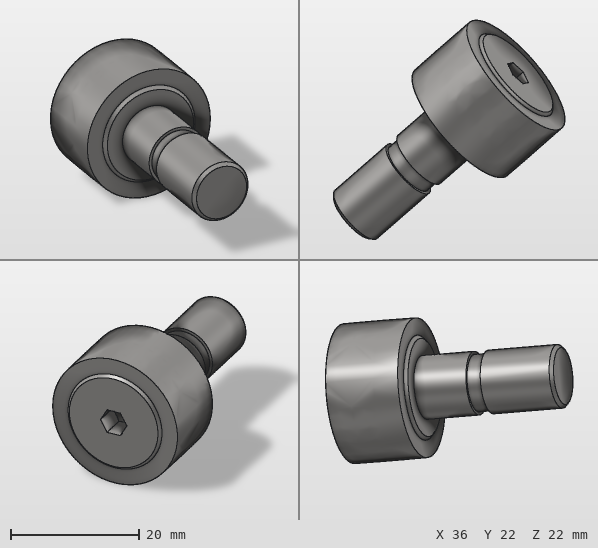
import cadquery as cq
import math

total_length = 36.0
roller_diameter = 22.0
roller_width = 12.0
crown_height = 0.05
flange_radius = 8.25
front_flange_width = 0.45
rear_flange_width = 0.55
front_chamfer = 0.45
rear_chamfer = 0.55
stud_diameter = 10.0
stud_end_chamfer = 0.55
groove_diameter = 9.0
groove_width = 2.38
threaded_length = 12.0
socket_across_flats = 4.0
socket_depth = 4.0
drill_point_angle = 118.0

front_x = -total_length / 2
end_x = total_length / 2
roller_start = front_x + front_flange_width
roller_end = roller_start + roller_width
head_end = roller_end + rear_flange_width
groove_end = end_x - threaded_length
groove_start = groove_end - groove_width


def make_roller():
    """Outer ring with a slightly crowned running surface."""
    crown_radius = roller_diameter / 2
    edge_radius = crown_radius - crown_height
    middle_x = (roller_start + roller_end) / 2
    return (
        cq.Workplane("XY")
        .moveTo(roller_start, 0)
        .lineTo(roller_start, edge_radius)
        .threePointArc((middle_x, crown_radius), (roller_end, edge_radius))
        .lineTo(roller_end, 0)
        .close()
        .revolve(360, (0, 0, 0), (1, 0, 0))
    )


def cylinder(start, end, radius):
    return cq.Workplane("YZ", origin=(start, 0, 0)).circle(radius).extrude(end - start)


def make_flanges():
    """Chamfered disc that stands proud of both roller faces."""
    flange = cylinder(front_x, head_end, flange_radius)
    return flange.faces("<X").chamfer(front_chamfer).faces(">X").chamfer(rear_chamfer)


def make_stud():
    """Stud with a chamfered end and a relief groove before its thread."""
    shank = cylinder(roller_end, groove_start, stud_diameter / 2)
    neck = cylinder(groove_start, groove_end, groove_diameter / 2)
    thread = cylinder(groove_end, end_x, stud_diameter / 2)
    return shank.union(neck).union(thread.faces(">X").chamfer(stud_end_chamfer))


def make_socket():
    """Hexagonal socket, corners along Y, ending in a conical drill point."""
    corner_radius = socket_across_flats / math.sqrt(3)
    point_length = corner_radius / math.tan(math.radians(drill_point_angle / 2))
    hexagon = (
        cq.Workplane("YZ", origin=(front_x, 0, 0))
        .polygon(6, 2 * corner_radius)
        .extrude(socket_depth + point_length)
    )
    socket_floor = front_x + socket_depth
    pointed_bore = (
        cq.Workplane("XY")
        .moveTo(front_x, 0)
        .lineTo(front_x, socket_across_flats)
        .lineTo(socket_floor, socket_across_flats)
        .lineTo(socket_floor, corner_radius)
        .lineTo(socket_floor + point_length, 0)
        .close()
        .revolve(360, (0, 0, 0), (1, 0, 0))
    )
    return hexagon.intersect(pointed_bore)


result = make_roller().union(make_flanges()).union(make_stud()).cut(make_socket())